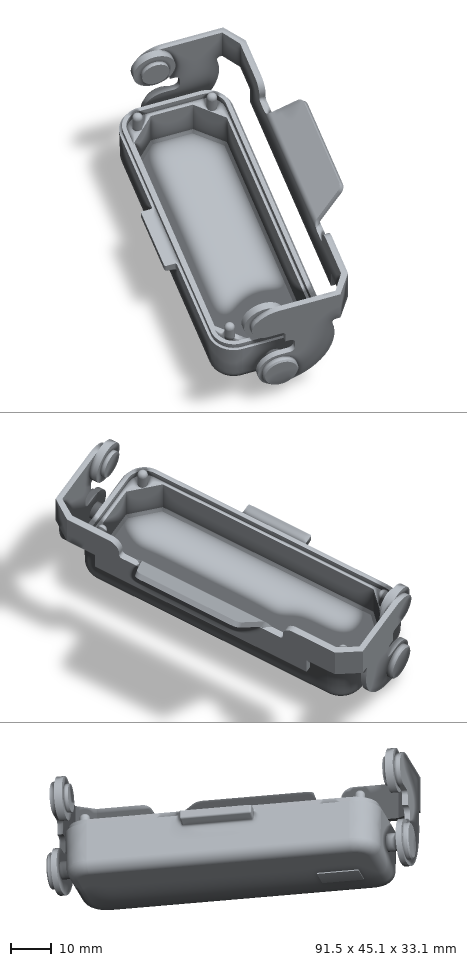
import cadquery as cq
import math

HOUSING_X = 79.6
HOUSING_Y = 29.4
CORNER_RADIUS = 6.6
DRAFT_ANGLE = 1.5
BOTTOM_RADIUS = 2.7
SHOULDER_Z = 12.4
RIM_TOP_Z = 13.8
RIM_STEP = 0.7
RIM_INNER_STEP = 1.8
LEDGE_Z = 12.0
FLOOR_Z = 1.6
POCKET_X = 73.9
POCKET_Y = 24.2
POCKET_CORNER = 6.6
POCKET_FLOOR_CHAMFER = 0.7

PIN_X = 34.8
PIN_Y = 9.7
PIN_RADIUS = 1.3
PIN_TOP_Z = 16.9
PIN_DOME = 1.1

TAB_WIDTH = 18.1
TAB_TIP_Y = -17.75
TAB_INNER_Y = -13.7
TAB_TIP_Z = 10.4
TAB_ROOT_Z = 9.4
TAB_EDGE_RADIUS = 0.5
TAB_ROOT_RADIUS = 0.5

PAD_X = 10.5
PAD_Y = 6.2
PAD_CENTER = (27.0, 2.7)
PAD_HEIGHT = 0.3

TOTAL_X = 91.5
PIVOT_Z = 6.6
SHAFT_RADIUS = 2.3
SHAFT_EMBED = 1.8
HEAD_RADIUS = 4.6
HEAD_CHAMFER = 0.4

ROLLER_Y = -3.2
ROLLER_Z = 24.3
ROLLER_RADIUS = 5.5
ROLLER_WIDTH = 2.0
ROLLER_CAP_RADIUS = 3.6
ROLLER_CAP_WIDTH = 1.1

SHEET = 1.5
LEG_OUTER_X = 44.3
LEG_INNER_X = LEG_OUTER_X - SHEET
LEVER_TOP_Z = 29.65
ARM_BOTTOM_Z = 20.4
CROWN_START_Y = 0.0
PIVOT_LOBE_RADIUS = 5.6
BACK_CURVE_RADIUS = 14.4
RELIEF_RADIUS = 0.9
HOOK_Y = 1.6
HOOK_Z = 16.8
HOOK_DEEP_Y = 4.1
HOOK_RADIUS = 1.5

BACK_Y = 19.9
BACK_SHEET = 1.65
BACK_FACE_Y = BACK_Y - BACK_SHEET
BEND_X = 38.6
BEND_Y = 15.9
TONGUE_HALF_X = 30.5
TONGUE_Z = 15.5
GAP_HALF_X = 23.6
GAP_Z = 24.6
GAP_TOP_RADIUS = 3.1
GAP_BOTTOM_RADIUS = 0.9

HANDLE_ANGLE = 41
HANDLE_BEND_RADIUS = 2.5
HANDLE_LENGTH = 9.6
HANDLE_BASE_HALF_X = 17.6
HANDLE_TIP_HALF_X = 14.7
HANDLE_ROOT_HALF_X = 19.8
HANDLE_TIP_RADIUS = 2.0


def rounded_outline(plane, inset):
    """Housing outline in plan, moved in by inset."""
    return (
        plane.sketch()
        .rect(HOUSING_X - 2 * inset, HOUSING_Y - 2 * inset)
        .vertices()
        .fillet(CORNER_RADIUS - inset)
        .finalize()
    )


def plane_at(z):
    """Horizontal work plane at height z."""
    return cq.Workplane("XY", origin=(0, 0, z))


def both_sides(shape):
    """The shape together with its mirror image across the YZ plane."""
    return shape.union(shape.mirror("YZ"))


def cylinder_x(x_low, x_high, y, z, radius):
    """Cylinder along X between two X positions."""
    return cq.Workplane("YZ", origin=(x_low, y, z)).circle(radius).extrude(x_high - x_low)


def make_tray_body():
    """Solid drafted block with its rounded underside."""
    block = rounded_outline(plane_at(SHOULDER_Z), 0).extrude(-SHOULDER_Z, taper=DRAFT_ANGLE)
    return block.faces("<Z").edges().fillet(BOTTOM_RADIUS)


def make_latch_tab():
    """Tab on the front wall with a flat top and a sloping underside."""
    tab = (
        cq.Workplane("YZ", origin=(-TAB_WIDTH / 2, 0, 0))
        .polyline([
            (TAB_INNER_Y, SHOULDER_Z),
            (TAB_TIP_Y, SHOULDER_Z),
            (TAB_TIP_Y, TAB_TIP_Z),
            (TAB_INNER_Y, TAB_ROOT_Z),
        ])
        .close()
        .extrude(TAB_WIDTH)
    )
    return tab.edges("not (>Z or >Y)").fillet(TAB_EDGE_RADIUS)


def make_housing():
    """Tray with rim, octagonal pocket, latch tab, corner pins and label pad."""
    tray = make_tray_body().union(make_latch_tab())
    wall_y = -HOUSING_Y / 2
    root_half = TAB_WIDTH / 2 + TAB_ROOT_RADIUS
    root_edges = cq.selectors.BoxSelector(
        (-root_half, wall_y - TAB_ROOT_RADIUS, TAB_ROOT_Z - TAB_ROOT_RADIUS),
        (root_half, wall_y + TAB_ROOT_RADIUS, SHOULDER_Z - TAB_ROOT_RADIUS),
    )
    tray = tray.edges(root_edges).fillet(TAB_ROOT_RADIUS)

    rim = rounded_outline(plane_at(SHOULDER_Z), RIM_STEP).extrude(RIM_TOP_Z - SHOULDER_Z)
    recess = rounded_outline(plane_at(LEDGE_Z), RIM_INNER_STEP).extrude(RIM_TOP_Z - LEDGE_Z)
    pocket = (
        plane_at(FLOOR_Z)
        .rect(POCKET_X, POCKET_Y)
        .extrude(LEDGE_Z - FLOOR_Z)
        .edges("|Z")
        .chamfer(POCKET_CORNER)
        .faces("<Z")
        .edges()
        .chamfer(POCKET_FLOOR_CHAMFER)
    )
    pins = (
        plane_at(LEDGE_Z)
        .rect(2 * PIN_X, 2 * PIN_Y, forConstruction=True)
        .vertices()
        .circle(PIN_RADIUS)
        .extrude(PIN_TOP_Z - LEDGE_Z)
        .faces(">Z")
        .edges()
        .fillet(PIN_DOME)
    )
    pad = (
        plane_at(-PAD_HEIGHT)
        .center(*PAD_CENTER)
        .rect(PAD_X, PAD_Y)
        .extrude(PAD_HEIGHT + FLOOR_Z / 2)
    )
    return tray.union(rim).cut(recess).cut(pocket).union(pins).union(pad)


def make_pivot():
    """Shaft from the end wall through the lever leg, with a flat head outside."""
    shaft = cylinder_x(HOUSING_X / 2 - SHAFT_EMBED, LEG_OUTER_X, 0, PIVOT_Z, SHAFT_RADIUS)
    head = cylinder_x(LEG_OUTER_X, TOTAL_X / 2, 0, PIVOT_Z, HEAD_RADIUS)
    return shaft.union(head.faces(">X").edges().chamfer(HEAD_CHAMFER))


def make_leg():
    """Side plate of the lever: upper lobe, hook notch and pivot lobe."""
    lobe_radius = ROLLER_Z - ARM_BOTTOM_Z
    offset_y = CROWN_START_Y - ROLLER_Y
    rise = LEVER_TOP_Z - ROLLER_Z
    crown_radius = (offset_y**2 + rise**2 - lobe_radius**2) / (2 * (rise - lobe_radius))
    crown_tilt = math.asin(offset_y / (crown_radius - lobe_radius))
    crown_end = (
        ROLLER_Y - lobe_radius * math.sin(crown_tilt),
        ROLLER_Z + lobe_radius * math.cos(crown_tilt),
    )

    pivot_top_z = PIVOT_Z + PIVOT_LOBE_RADIUS
    pivot_bottom_z = PIVOT_Z - PIVOT_LOBE_RADIUS
    back_center_z = pivot_bottom_z + BACK_CURVE_RADIUS
    back_end_y = math.sqrt(BACK_CURVE_RADIUS**2 - (ARM_BOTTOM_Z - back_center_z) ** 2)
    back_middle = BACK_CURVE_RADIUS * math.sqrt(0.5)

    leg = (
        cq.Workplane("YZ", origin=(LEG_INNER_X, 0, 0))
        .moveTo(BEND_Y, LEVER_TOP_Z)
        .lineTo(CROWN_START_Y, LEVER_TOP_Z)
        .tangentArcPoint(crown_end, relative=False)
        .tangentArcPoint((ROLLER_Y, ARM_BOTTOM_Z), relative=False)
        .lineTo(HOOK_Y, ARM_BOTTOM_Z)
        .lineTo(HOOK_Y, HOOK_Z)
        .lineTo(HOOK_DEEP_Y, HOOK_Z)
        .lineTo(HOOK_DEEP_Y, pivot_top_z)
        .lineTo(0, pivot_top_z)
        .threePointArc((-PIVOT_LOBE_RADIUS, PIVOT_Z), (0, pivot_bottom_z))
        .threePointArc((back_middle, back_center_z - back_middle), (back_end_y, ARM_BOTTOM_Z))
        .lineTo(BEND_Y, ARM_BOTTOM_Z)
        .close()
        .extrude(SHEET)
    )
    inner_corners = [
        (HOOK_Y, ARM_BOTTOM_Z, RELIEF_RADIUS),
        (back_end_y, ARM_BOTTOM_Z, RELIEF_RADIUS),
        (HOOK_DEEP_Y, HOOK_Z, HOOK_RADIUS),
        (HOOK_DEEP_Y, pivot_top_z, HOOK_RADIUS),
    ]
    middle_x = LEG_INNER_X + SHEET / 2
    for y, z, radius in inner_corners:
        corner = cq.selectors.NearestToPointSelector((middle_x, y, z))
        leg = leg.edges(corner).fillet(radius)
    return leg


def make_roller():
    """Stepped roller on the inner face of a leg."""
    wheel_x = LEG_INNER_X - ROLLER_WIDTH
    wheel = cylinder_x(wheel_x, LEG_INNER_X, ROLLER_Y, ROLLER_Z, ROLLER_RADIUS)
    cap = cylinder_x(wheel_x - ROLLER_CAP_WIDTH, wheel_x, ROLLER_Y, ROLLER_Z, ROLLER_CAP_RADIUS)
    return wheel.union(cap)


def make_strap():
    """Back plate with its angled ends, lower tongue and upper gap."""
    bend_angle = math.atan2(LEG_OUTER_X - BEND_X, BACK_Y - BEND_Y)
    inner_bend_y = BEND_Y - SHEET * math.tan(bend_angle / 2)
    inner_bend_x = BEND_X - BACK_SHEET * math.tan((math.pi / 2 - bend_angle) / 2)
    half_strip = (
        plane_at(ARM_BOTTOM_Z)
        .polyline([
            (0, BACK_Y),
            (BEND_X, BACK_Y),
            (LEG_OUTER_X, BEND_Y),
            (LEG_INNER_X, inner_bend_y),
            (inner_bend_x, BACK_FACE_Y),
            (0, BACK_FACE_Y),
        ])
        .close()
        .extrude(LEVER_TOP_Z - ARM_BOTTOM_Z)
    )
    gap = (
        plane_at(GAP_Z)
        .center(0, BACK_Y - BACK_SHEET / 2)
        .rect(2 * GAP_HALF_X, 2 * BACK_SHEET)
        .extrude(LEVER_TOP_Z - GAP_Z)
        .faces("<Z")
        .edges("|Y")
        .fillet(GAP_BOTTOM_RADIUS)
    )
    tongue = (
        plane_at(TONGUE_Z)
        .center(0, BACK_Y - BACK_SHEET / 2)
        .rect(2 * TONGUE_HALF_X, BACK_SHEET)
        .extrude(ARM_BOTTOM_Z - TONGUE_Z)
    )
    strap = both_sides(half_strip).cut(gap)
    for x in (-GAP_HALF_X, GAP_HALF_X):
        gap_corner = cq.selectors.NearestToPointSelector((x, BACK_Y - BACK_SHEET / 2, LEVER_TOP_Z))
        strap = strap.edges(gap_corner).fillet(GAP_TOP_RADIUS)
    return strap.union(tongue)


def make_handle():
    """Grip bent backwards out of the back plate and tapering to its tip."""
    angle = math.radians(HANDLE_ANGLE)
    cos_a, sin_a = math.cos(angle), math.sin(angle)
    turn = math.pi / 2 - angle
    center_y = BACK_FACE_Y + HANDLE_BEND_RADIUS
    inner_radius = HANDLE_BEND_RADIUS - SHEET

    def on_bend(radius, swept):
        return (center_y - radius * math.cos(swept), GAP_Z + radius * math.sin(swept))

    def along(point, length):
        return (point[0] + length * cos_a, point[1] + length * sin_a)

    upper_start = on_bend(HANDLE_BEND_RADIUS, turn)
    lower_start = on_bend(inner_radius, turn)
    profile = (
        cq.Workplane("YZ", origin=(-HANDLE_ROOT_HALF_X, 0, 0))
        .moveTo(*on_bend(HANDLE_BEND_RADIUS, 0))
        .threePointArc(on_bend(HANDLE_BEND_RADIUS, turn / 2), upper_start)
        .lineTo(*along(upper_start, HANDLE_LENGTH))
        .lineTo(*along(lower_start, HANDLE_LENGTH))
        .lineTo(*lower_start)
        .threePointArc(on_bend(inner_radius, turn / 2), on_bend(inner_radius, 0))
        .close()
        .extrude(2 * HANDLE_ROOT_HALF_X)
    )

    grip_plane = cq.Plane(
        origin=(0, upper_start[0], upper_start[1]),
        xDir=(1, 0, 0),
        normal=(0, -sin_a, cos_a),
    )
    root_offset = -(upper_start[0] - BACK_FACE_Y) * cos_a - (upper_start[1] - GAP_Z) * sin_a
    half_outline = (
        cq.Workplane(grip_plane)
        .moveTo(0, HANDLE_LENGTH)
        .lineTo(HANDLE_TIP_HALF_X, HANDLE_LENGTH)
        .lineTo(HANDLE_BASE_HALF_X, 0)
        .tangentArcPoint((HANDLE_ROOT_HALF_X, root_offset), relative=False)
        .lineTo(0, root_offset)
        .close()
        .extrude(HANDLE_BEND_RADIUS * 2, both=True)
    )
    tip_point = grip_plane.toWorldCoords((HANDLE_TIP_HALF_X, HANDLE_LENGTH))
    tip_corner = cq.selectors.NearestToPointSelector(tip_point)
    half_outline = half_outline.edges(tip_corner).fillet(HANDLE_TIP_RADIUS)
    return profile.intersect(both_sides(half_outline))


lever = make_strap().union(both_sides(make_leg().union(make_roller()))).union(make_handle())
result = make_housing().union(both_sides(make_pivot())).union(lever)